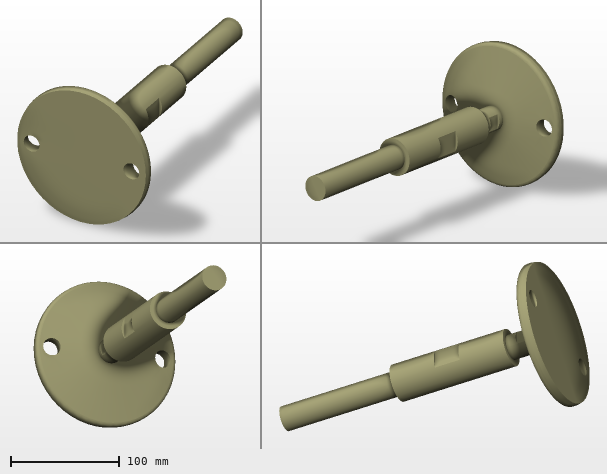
import cadquery as cq
import math

TOTAL_LENGTH = 278.0

PLATE_RADIUS = 138.0 / 2
PLATE_FACE_RADIUS = 68.0
DRAFT_HEIGHT = 4.5
CONE_BASE_HEIGHT = 10.0
CONE_TOP_HEIGHT = 19.5
RIM_FILLET = 3.3

ROD_DIAMETER = 24.0
ROD_RADIUS = ROD_DIAMETER / 2
ROD_FLAT_WIDTH = 19.5
ROD_FLAT_START = 24.7
ROD_FLAT_LENGTH = 12.5

SLEEVE_DIAMETER = 36.0
SLEEVE_START = 47.5
SLEEVE_LENGTH = 115.5
SLEEVE_FLAT_WIDTH = 30.0
SLEEVE_FLAT_LENGTH = 25.0
SLEEVE_FLAT_START = SLEEVE_START + (SLEEVE_LENGTH - SLEEVE_FLAT_LENGTH) / 2

HOLE_DIAMETER = 16.5
HOLE_OFFSET = 52.8
HOLE_DEPTH = 2 * CONE_TOP_HEIGHT
CONE_ANGLE = math.atan2(CONE_TOP_HEIGHT - CONE_BASE_HEIGHT, PLATE_RADIUS - ROD_RADIUS)


def cylinder(diameter, start, length):
    """Cylinder along +Y, starting at y = start."""
    base = cq.Workplane("XZ", origin=(0, start, 0))
    return base.circle(diameter / 2).extrude(-length)


def cut_flats(body, diameter, width, start, length):
    """Cut a pair of wrench flats, facing -X and +X, a given width apart."""
    depth = (diameter - width) / 2
    for side in (-1, 1):
        center = (side * (width + depth) / 2, start + length / 2, 0)
        body = body.cut(cq.Workplane("XY").box(depth, length, diameter).translate(center))
    return body


def make_plate():
    """Conical plate with a drafted lower rim and a rounded upper rim."""
    outline = (
        cq.Workplane("XY")
        .lineTo(PLATE_FACE_RADIUS, 0)
        .lineTo(PLATE_RADIUS, DRAFT_HEIGHT)
        .lineTo(PLATE_RADIUS, CONE_BASE_HEIGHT)
        .lineTo(ROD_RADIUS, CONE_TOP_HEIGHT)
        .lineTo(0, CONE_TOP_HEIGHT)
        .close()
    )
    plate = outline.revolve(360, (0, 0, 0), (0, 1, 0))
    plate = plate.faces("%CYLINDER").edges(">Y").fillet(RIM_FILLET)
    for side in (-1, 1):
        axis = cq.Vector(side * math.sin(CONE_ANGLE), math.cos(CONE_ANGLE), 0)
        middle = cq.Vector(side * HOLE_OFFSET, 0, 0)
        start = middle - axis * (HOLE_DEPTH / 2)
        plate = plate.cut(cq.Solid.makeCylinder(HOLE_DIAMETER / 2, HOLE_DEPTH, start, axis))
    return plate


def make_foot():
    """Plate with the rod standing on it, and wrench flats just above the plate."""
    rod = cylinder(ROD_DIAMETER, CONE_TOP_HEIGHT, TOTAL_LENGTH - CONE_TOP_HEIGHT)
    rod = cut_flats(rod, ROD_DIAMETER, ROD_FLAT_WIDTH, ROD_FLAT_START, ROD_FLAT_LENGTH)
    return make_plate().union(rod)


def make_sleeve():
    """Tube around the rod, with wrench flats at mid-length."""
    sleeve = cylinder(SLEEVE_DIAMETER, SLEEVE_START, SLEEVE_LENGTH)
    sleeve = sleeve.cut(cylinder(ROD_DIAMETER, SLEEVE_START, SLEEVE_LENGTH))
    return cut_flats(sleeve, SLEEVE_DIAMETER, SLEEVE_FLAT_WIDTH, SLEEVE_FLAT_START, SLEEVE_FLAT_LENGTH)


foot = make_foot()
sleeve = make_sleeve()

result = cq.Compound.makeCompound([foot.val(), sleeve.val()])